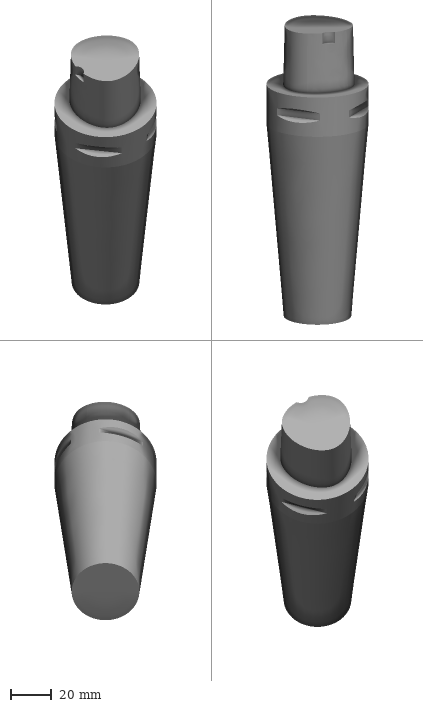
import cadquery as cq
import math

total_height = 148.0
collar_radius = 25.0
foot_radius = 16.6
cone_height = 98.0
collar_top = 118.0

shank_radius = 17.5
lobe_height = 0.7
shank_taper = 1 / 40
lobe_count = 3
lobe_peak_angle = 90
face_count = 2 * lobe_count
face_angle = 360 / face_count

groove_count = 4
groove_first_angle = 45
groove_floor_distance = 22.2
groove_floor_height = 3.5
groove_flank_angle = 30
groove_center_z = 108.0
cut_overrun = 1.5

notch_radius = 3.8
notch_center_y = -17.8
notch_depth = 5.5


def lobed_point(angle_degrees, mean_radius):
    """Point of the constant-width outline whose outward normal has the given angle."""
    angle = math.radians(angle_degrees)
    lobe_angle = math.radians(lobe_count * (angle_degrees - lobe_peak_angle))
    distance = mean_radius + lobe_height * math.cos(lobe_angle)
    slide = -lobe_count * lobe_height * math.sin(lobe_angle)
    x = distance * math.cos(angle) - slide * math.sin(angle)
    y = distance * math.sin(angle) + slide * math.cos(angle)
    return x, y


def lobed_outline(workplane, mean_radius):
    """Closed outline made of alternating lobe and flank curves."""
    for face in range(face_count):
        start = face * face_angle
        workplane = workplane.parametricCurve(
            lambda t: lobed_point(start + t * face_angle, mean_radius), N=12, makeWire=False
        )
    return workplane.wire()


def make_body():
    half_profile = [
        (0, 0),
        (foot_radius, 0),
        (collar_radius, cone_height),
        (collar_radius, collar_top),
        (0, collar_top),
    ]
    return cq.Workplane("XZ").polyline(half_profile).close().revolve(360, (0, 0), (0, 1))


def make_shank():
    shank_height = total_height - collar_top
    base = lobed_outline(cq.Workplane("XY").workplane(offset=collar_top), shank_radius)
    end_radius = shank_radius - shank_height * shank_taper
    return lobed_outline(base.workplane(offset=shank_height), end_radius).loft(ruled=True)


def make_groove(angle):
    outer = collar_radius + cut_overrun
    floor_half = groove_floor_height / 2
    flank_rise = (outer - groove_floor_distance) * math.tan(math.radians(groove_flank_angle))
    mouth_half = floor_half + flank_rise
    section = [
        (groove_floor_distance, groove_center_z - floor_half),
        (outer, groove_center_z - mouth_half),
        (outer, groove_center_z + mouth_half),
        (groove_floor_distance, groove_center_z + floor_half),
    ]
    groove = cq.Workplane("XZ").polyline(section).close().extrude(collar_radius, both=True)
    return groove.rotate((0, 0, 0), (0, 0, 1), angle)


def make_notch():
    floor = cq.Workplane("XY").workplane(offset=total_height - notch_depth)
    return floor.center(0, notch_center_y).circle(notch_radius).extrude(notch_depth + cut_overrun)


result = make_body().union(make_shank())
for index in range(groove_count):
    result = result.cut(make_groove(groove_first_angle + index * 360 / groove_count))
result = result.cut(make_notch())